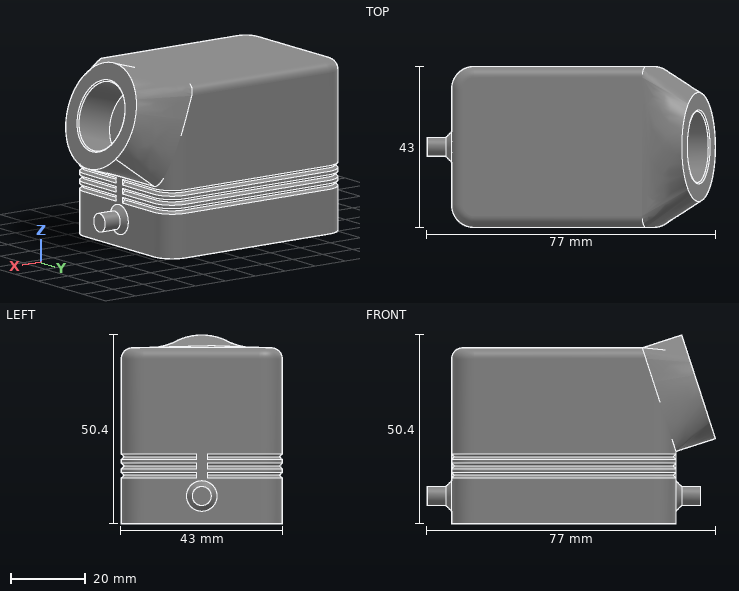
import cadquery as cq
import math

overall_length = 76.95
body_length = 59.9
body_width = 43.0
body_height = 47.0
corner_radius = 6.0
top_fillet = 3.0
flank_angle = 45.0

pin_reach = 6.55
pin_diameter = 5.1
pin_height = 7.5
pin_cone_length = 1.55

groove_count = 3
groove_depth = 0.8
groove_pitch = 2.5
groove_top = 18.7
groove_gap = 2.9

spout_tilt = 18.0
spout_bottom = 19.3
bore_diameter = 18.9
bore_chamfer = 0.4

body_end = body_length / 2
tilt_cos = math.cos(math.radians(spout_tilt))
tilt_sin = math.sin(math.radians(spout_tilt))

spout_radius = (body_height - spout_bottom) / (2 * tilt_cos)
spout_length = (overall_length - pin_reach - body_length) / tilt_cos

spout_plane = cq.Plane(
    origin=(body_end - spout_radius * tilt_sin, 0, spout_bottom + spout_radius * tilt_cos),
    xDir=(0, 1, 0),
    normal=(tilt_cos, 0, tilt_sin),
)


def rounded_block(height):
    """Block with the body's rounded outline, standing on Z = 0."""
    return (
        cq.Workplane("XY")
        .rect(body_length, body_width)
        .extrude(height)
        .edges("|Z")
        .fillet(corner_radius)
    )


def make_body():
    """Rounded block with a filleted top and the upper +X end cut off at a slant."""
    block = rounded_block(body_height).faces(">Z").edges().fillet(top_fillet)
    removed = cq.Workplane(spout_plane).rect(overall_length, overall_length).extrude(body_length)
    return block.cut(removed)


def lip_point(angle):
    """Point on the spout's round lip at an angle from the local X axis."""
    return spout_plane.toWorldCoords(
        (spout_radius * math.cos(angle), spout_radius * math.sin(angle), spout_length)
    )


def make_spout(body):
    """Loft from the slanted face to the round lip, joining points at equal angles."""
    cut_face = body.faces(cq.selectors.NearestToPointSelector(spout_plane.origin.toTuple())).val()
    cut_outline = cut_face.outerWire()
    corners = [spout_plane.toLocalCoords(vertex.Center()) for vertex in cut_outline.Vertices()]
    angles = sorted(math.atan2(corner.y, corner.x) for corner in corners)
    arcs = []
    for start, end in zip(angles, angles[1:] + [angles[0] + 2 * math.pi]):
        middle = (start + end) / 2
        arcs.append(cq.Edge.makeThreePointArc(lip_point(start), lip_point(middle), lip_point(end)))
    lip_outline = cq.Wire.assembleEdges(arcs)
    return cq.Workplane(cq.Solid.makeLoft([cut_outline, lip_outline], True))


def make_bore():
    """Blind bore from the lip to the slanted face, chamfered at its mouth."""
    bore_radius = bore_diameter / 2
    bore = cq.Workplane(spout_plane).circle(bore_radius).extrude(spout_length)
    mouth = (
        cq.Workplane(spout_plane)
        .workplane(offset=spout_length)
        .circle(bore_radius + bore_chamfer)
        .extrude(-bore_chamfer, taper=flank_angle)
    )
    return bore.union(mouth)


def make_groove(top):
    """V-shaped ring to remove from the walls, interrupted on both end walls."""
    ring = rounded_block(2 * groove_depth).translate((0, 0, top - 2 * groove_depth))
    for level, direction in ((top, -1), (top - 2 * groove_depth, 1)):
        core = (
            cq.Workplane("XY", origin=(0, 0, level))
            .sketch()
            .rect(body_length, body_width)
            .vertices()
            .fillet(corner_radius)
            .finalize()
            .extrude(direction * groove_depth, taper=flank_angle)
        )
        ring = ring.cut(core)
    strip = cq.Workplane("XY").box(overall_length, groove_gap, 2 * body_height)
    return ring.cut(strip)


def make_pin(side):
    """Round pin with a conical foot on the end wall at side +1 or -1."""
    wall = cq.Workplane("YZ", origin=(side * body_end, 0, pin_height))
    pin_radius = pin_diameter / 2
    foot = wall.circle(pin_radius + pin_cone_length).extrude(side * pin_cone_length, taper=flank_angle)
    return wall.circle(pin_radius).extrude(side * pin_reach).union(foot)


body = make_body()
result = body.union(make_spout(body)).cut(make_bore())
for index in range(groove_count):
    result = result.cut(make_groove(groove_top - index * groove_pitch))
for side in (-1, 1):
    result = result.union(make_pin(side))
result = result.solids()